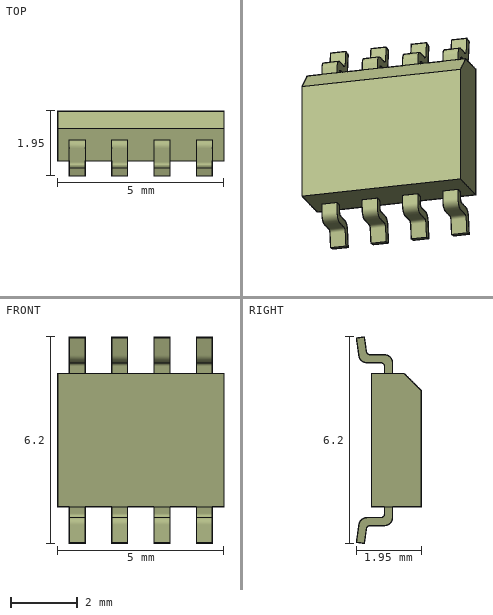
import cadquery as cq
import math

body_width = 5.0
body_depth = 1.5
body_height = 4.005
bevel = 0.515

overall_height = 6.2
overall_depth = 1.95
lead_count = 4
lead_pitch = 1.27
lead_width = 0.485
lead_thickness = 0.25
lead_setback = 0.39
shoulder_clearance = 0.315
foot_tilt = math.radians(8.0)
outer_bend_radius = 0.25
inner_bend_radius = 0.105


def make_housing():
    """Block with one bevel along its upper rear edge."""
    block = cq.Workplane("XY").box(body_width, body_depth, body_height)
    block = block.translate((0, body_depth / 2, 0))
    return block.edges(">Y and >Z").chamfer(bevel)


def make_upper_lead(x_center):
    """Lead of the upper row: root, shoulder towards the front, then a tilted foot."""
    root_z = body_height / 2
    root_front = lead_setback
    root_back = root_front + lead_thickness
    shoulder_low = root_z + shoulder_clearance
    shoulder_high = shoulder_low + lead_thickness

    toe_front_y = body_depth - overall_depth
    toe_front_z = overall_height / 2 - lead_thickness * math.sin(foot_tilt)
    toe_back_y = toe_front_y + lead_thickness * math.cos(foot_tilt)
    toe_back_z = overall_height / 2

    slope = math.tan(foot_tilt)
    heel_outer_y = toe_front_y + (toe_front_z - shoulder_low) * slope
    heel_inner_y = toe_back_y + (toe_back_z - shoulder_high) * slope

    outer_corners = [(root_back, shoulder_high), (heel_outer_y, shoulder_low)]
    inner_corners = [(root_front, shoulder_low), (heel_inner_y, shoulder_high)]
    outline = [
        (root_front, root_z),
        inner_corners[0],
        outer_corners[1],
        (toe_front_y, toe_front_z),
        (toe_back_y, toe_back_z),
        inner_corners[1],
        outer_corners[0],
        (root_back, root_z),
    ]
    lead = (
        cq.Workplane("YZ", origin=(x_center, 0, 0))
        .polyline(outline)
        .close()
        .extrude(lead_width / 2, both=True)
    )
    lead = round_bends(lead, x_center, outer_corners, outer_bend_radius)
    return round_bends(lead, x_center, inner_corners, inner_bend_radius)


def round_bends(lead, x_center, corners, radius):
    """Round the edges along X that pass through the given (Y, Z) corners."""
    for y, z in corners:
        corner = cq.NearestToPointSelector((x_center, y, z))
        lead = lead.edges("|X").edges(corner).fillet(radius)
    return lead


housing = make_housing()

leads = []
for index in range(lead_count):
    lead_x = (index - (lead_count - 1) / 2) * lead_pitch
    upper_lead = make_upper_lead(lead_x)
    lower_lead = upper_lead.mirror("XY")
    leads += [upper_lead.val(), lower_lead.val()]

result = cq.Compound.makeCompound([housing.val(), *leads])